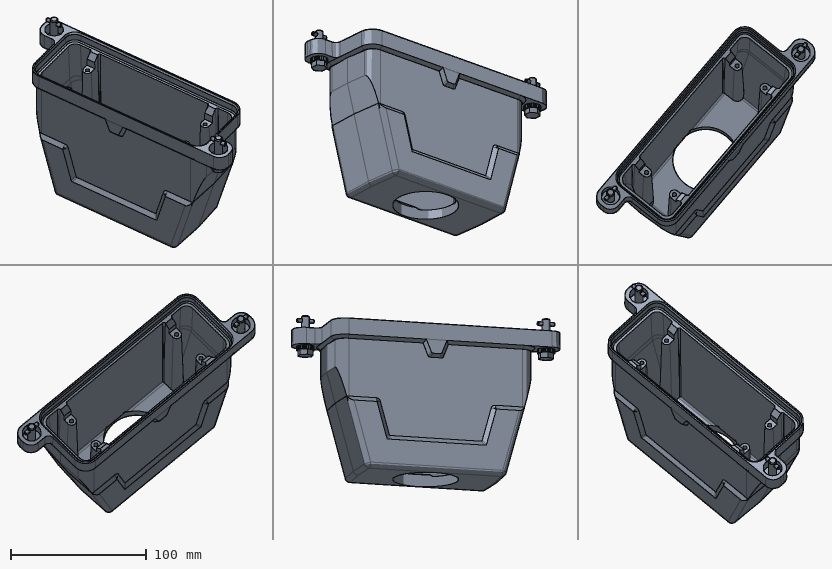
import cadquery as cq
import math

OVERALL_LENGTH = 193.0
OVERALL_WIDTH = 58.0
PIN_TOP = 10.5
HOOD_BOTTOM = PIN_TOP - 121.95

FLANGE_LENGTH = 155.8
FLANGE_THICKNESS = 12.3
FLANGE_CORNER_RADIUS = 10.8
FLANGE_DRAFT = 1.0
UNDERCUT_HEIGHT = 2.5

BODY_LENGTH = 151.6
BODY_WIDTH = OVERALL_WIDTH - 2 * (UNDERCUT_HEIGHT + 0.1)
BODY_CORNER_RADIUS = 8.5
END_PARTING_DRAFT = 2.8
KNEE_Z = -35.3
BOTTOM_HALF_LENGTH = 54.7
END_SLOPE = (BODY_LENGTH / 2 - BOTTOM_HALF_LENGTH) / (KNEE_Z - HOOD_BOTTOM)

BAND_TOP = -58.3
BAND_EDGE_RADIUS = 3.8
BAND_STEP = (OVERALL_WIDTH - BODY_WIDTH) / 2
BEVEL_RUN = 3.4
STEP_FLOOR_Z = -89.5
STEP_FLOOR_HALF = 38.0
STEP_CORNER_RADIUS = 1.5

LEDGE_Z = -7.5
CAVITY_LENGTH = 144.0
CAVITY_WIDTH = 46.6
CAVITY_CORNER_RADIUS = 6.3
CAVITY_KNEE_RADIUS = 20.0
CAVITY_DRAFT = 0.75
CAVITY_FLOOR_Z = -104.0
CAVITY_KNEE_Z = -40.5
CAVITY_KNEE_HALF = 70.4
CAVITY_FLOOR_HALF = 53.0
CAVITY_FLOOR_RADIUS = 1.5
CABLE_HOLE_DIAMETER = 48.5

RECESS_STEPS = [(1.4, 0.0), (2.4, -1.5), (2.8, -6.5), (3.9, LEDGE_Z)]

POST_X = 52.4
POST_Y = 13.2
POST_RADIUS = 3.3
POST_FLARE = 1.4
POST_TOP = -18.2
POST_DRAFT = 1.1
POST_HOLE_DIAMETER = 3.0
POST_HOLE_DEPTH = 12.0
RIB_SLOPE_START_Y = 21.6
RIB_SLOPE_RUN = 4.0
RIB_SLOPE_DROP = 4.6

EAR_WIDTH = 19.0
EAR_CORNER_RADIUS = 8.0
EAR_INNER_RADIUS = 4.0
SCREW_X = 86.5
SCREW_Y = 19.5
EAR_POCKET_DIAMETER = 13.6
EAR_POCKET_DEPTH = 9.0
PIN_DIAMETER = 6.0
PIN_CHAMFER = 0.8
CROSS_PIN_DIAMETER = 3.0
CROSS_PIN_LENGTH = 13.0
CROSS_PIN_CHAMFER = 0.5
CROSS_PIN_Z = 6.9
WASHER_DIAMETER = 12.8
WASHER_THICKNESS = 3.0
WASHER_TEETH = 24
WASHER_TOOTH_DEPTH = 0.5
HEX_ACROSS_CORNERS = 11.6
HEX_BOTTOM = -19.4

TAB_HALF_TOP = 10.7
TAB_HALF_BOTTOM = 5.5
TAB_BOTTOM = -25.2
TAB_SIDE_SLOPE = (TAB_HALF_TOP - TAB_HALF_BOTTOM) / (-FLANGE_THICKNESS - TAB_BOTTOM)
TAB_BEVEL = 2.6
TAB_CORNER_RADIUS = 2.5


def rounded_block(length, width, radius, top, height, draft=0.0):
    """Rounded rectangle at level top, extruded downward and narrowing by draft."""
    return (
        cq.Workplane("XY")
        .workplane(offset=top)
        .sketch()
        .rect(length, width)
        .vertices()
        .fillet(radius)
        .finalize()
        .extrude(-height, taper=draft)
    )


def peaked_hull(half_length, width, top, bottom, slope=0.0):
    """Prism between two levels whose ends peak at the mid plane and slope inward going down."""
    height = top - bottom
    spare_width = width + 2 * height * slope
    half_width = spare_width / 2
    corner = half_length - half_width * math.tan(math.radians(END_PARTING_DRAFT))
    hull = (
        cq.Workplane("XY")
        .workplane(offset=top)
        .polyline([
            (-half_length, 0),
            (-corner, half_width),
            (corner, half_width),
            (half_length, 0),
            (corner, -half_width),
            (-corner, -half_width),
        ])
        .close()
        .extrude(-height, taper=math.degrees(math.atan(slope)))
    )
    slab = cq.Workplane("XY", origin=(0, 0, bottom)).box(
        2 * half_length, width, height, centered=(True, True, False)
    )
    return hull.intersect(slab)


def opposite(solid):
    """Copy turned half a revolution about Z."""
    return solid.rotate((0, 0, 0), (0, 0, 1), 180)


def make_flange():
    """Rim plate with an ear on two opposite corners, drafted upward."""
    ear_end = OVERALL_LENGTH / 2
    side = OVERALL_WIDTH / 2
    ear_inner = side - EAR_WIDTH
    rim_end = FLANGE_LENGTH / 2
    r_ear = EAR_CORNER_RADIUS
    r_in = EAR_INNER_RADIUS
    r_rim = FLANGE_CORNER_RADIUS
    return (
        cq.Workplane("XY")
        .workplane(offset=-FLANGE_THICKNESS)
        .moveTo(-ear_end + r_ear, side)
        .lineTo(rim_end - r_rim, side)
        .tangentArcPoint((rim_end, side - r_rim), relative=False)
        .lineTo(rim_end, -ear_inner + r_in)
        .tangentArcPoint((rim_end + r_in, -ear_inner), relative=False)
        .lineTo(ear_end - r_ear, -ear_inner)
        .tangentArcPoint((ear_end, -ear_inner - r_ear), relative=False)
        .lineTo(ear_end, -side + r_ear)
        .tangentArcPoint((ear_end - r_ear, -side), relative=False)
        .lineTo(-rim_end + r_rim, -side)
        .tangentArcPoint((-rim_end, -side + r_rim), relative=False)
        .lineTo(-rim_end, ear_inner - r_in)
        .tangentArcPoint((-rim_end - r_in, ear_inner), relative=False)
        .lineTo(-ear_end + r_ear, ear_inner)
        .tangentArcPoint((-ear_end, ear_inner + r_ear), relative=False)
        .lineTo(-ear_end, side - r_ear)
        .tangentArcPoint((-ear_end + r_ear, side), relative=False)
        .close()
        .extrude(FLANGE_THICKNESS, taper=FLANGE_DRAFT)
    )


def make_undercut():
    """Sloped transition between the flange and the hood walls."""
    return rounded_block(
        FLANGE_LENGTH, OVERALL_WIDTH, FLANGE_CORNER_RADIUS, -FLANGE_THICKNESS, UNDERCUT_HEIGHT, 45
    )


def make_walls():
    """Round-cornered upper hood, its ends sloping inward below the knee."""
    bottom = BAND_TOP - BEVEL_RUN
    half_length = BODY_LENGTH / 2
    sloped_half_top = half_length + END_SLOPE * (LEDGE_Z - KNEE_Z)
    box = peaked_hull(half_length, BODY_WIDTH, LEDGE_Z, bottom)
    box = box.edges("|Z").edges("<Y or >Y").fillet(BODY_CORNER_RADIUS)
    return box.intersect(peaked_hull(sloped_half_top, BODY_WIDTH, LEDGE_Z, bottom, END_SLOPE))


def make_step_cutter():
    """Bevelled slab that removes the band thickness above the U-shaped step (-Y side)."""
    shelf_z = BAND_TOP - BEVEL_RUN
    shelf_half = STEP_FLOOR_HALF + END_SLOPE * (shelf_z - STEP_FLOOR_Z)
    margin = 2 * BEVEL_RUN
    far = BODY_LENGTH / 2 + margin
    bevel_angle = math.degrees(math.atan(BEVEL_RUN / BAND_STEP))
    slab = (
        cq.Workplane("XZ", origin=(0, -OVERALL_WIDTH / 2, 0))
        .polyline([
            (-far, margin),
            (-far, shelf_z),
            (-shelf_half, shelf_z),
            (-STEP_FLOOR_HALF, STEP_FLOOR_Z),
            (STEP_FLOOR_HALF, STEP_FLOOR_Z),
            (shelf_half, shelf_z),
            (far, shelf_z),
            (far, margin),
        ])
        .close()
        .extrude(-BAND_STEP, taper=bevel_angle)
    )
    return slab.edges("not (<Y or >Y)").fillet(STEP_CORNER_RADIUS)


def make_band():
    """Thicker lower part of the hood."""
    half_top = BOTTOM_HALF_LENGTH + END_SLOPE * (BAND_TOP - HOOD_BOTTOM)
    block = peaked_hull(half_top, OVERALL_WIDTH, BAND_TOP, HOOD_BOTTOM, END_SLOPE)
    block = block.faces("<Y or >Y or <Z").edges("not >Z").fillet(BAND_EDGE_RADIUS)
    cutter = make_step_cutter()
    return block.cut(cutter).cut(opposite(cutter))


def make_tab():
    """Bevelled grip tab on the -Y side, hanging from the flange."""
    root_half = TAB_HALF_TOP + FLANGE_THICKNESS * TAB_SIDE_SLOPE
    tab = (
        cq.Workplane("XZ", origin=(0, -OVERALL_WIDTH / 2 + TAB_BEVEL, 0))
        .polyline([
            (-root_half, 0),
            (-TAB_HALF_BOTTOM, TAB_BOTTOM),
            (TAB_HALF_BOTTOM, TAB_BOTTOM),
            (root_half, 0),
        ])
        .close()
        .extrude(TAB_BEVEL, taper=45)
        .edges("not (<Y or >Y)")
        .fillet(TAB_CORNER_RADIUS)
    )
    flange_space = cq.Workplane("XY", origin=(0, 0, -FLANGE_THICKNESS)).box(
        FLANGE_LENGTH, OVERALL_WIDTH, -TAB_BOTTOM, centered=(True, True, False)
    )
    return tab.cut(flange_space)


def make_rim_recess():
    """Recess in the rim, stepping inward in steep bands down to the ledge."""
    recess = None
    for (inset, top), (next_inset, bottom) in zip(RECESS_STEPS, RECESS_STEPS[1:]):
        band = rounded_block(
            FLANGE_LENGTH - 2 * inset,
            OVERALL_WIDTH - 2 * inset,
            FLANGE_CORNER_RADIUS - inset,
            top,
            top - bottom,
            math.degrees(math.atan((next_inset - inset) / (top - bottom))),
        )
        recess = band if recess is None else recess.union(band)
    return recess


def make_post(x_sign, y_sign):
    """Round-nosed post against a long wall, with a sloped rib above it."""
    wall_y = CAVITY_WIDTH / 2
    side_y = wall_y - POST_FLARE
    foot = POST_RADIUS + POST_FLARE
    column = (
        cq.Workplane("XY")
        .workplane(offset=LEDGE_Z)
        .moveTo(-foot, wall_y)
        .radiusArc((-POST_RADIUS, side_y), POST_FLARE)
        .lineTo(-POST_RADIUS, POST_Y)
        .threePointArc((0, POST_Y - POST_RADIUS), (POST_RADIUS, POST_Y))
        .lineTo(POST_RADIUS, side_y)
        .radiusArc((foot, wall_y), POST_FLARE)
        .lineTo(foot, BODY_WIDTH / 2)
        .lineTo(-foot, BODY_WIDTH / 2)
        .close()
        .extrude(CAVITY_FLOOR_Z - LEDGE_Z, taper=-POST_DRAFT)
    )
    rib_face_y = RIB_SLOPE_START_Y - RIB_SLOPE_RUN
    notch = (
        cq.Workplane("YZ")
        .polyline([
            (0, LEDGE_Z),
            (RIB_SLOPE_START_Y, LEDGE_Z),
            (rib_face_y, LEDGE_Z - RIB_SLOPE_DROP),
            (rib_face_y, POST_TOP),
            (0, POST_TOP),
        ])
        .close()
        .extrude(2 * foot, both=True)
    )
    hole = (
        cq.Workplane("XY", origin=(0, POST_Y, POST_TOP))
        .circle(POST_HOLE_DIAMETER / 2)
        .extrude(-POST_HOLE_DEPTH)
    )
    post = column.cut(notch).cut(hole)
    if y_sign < 0:
        post = opposite(post)
    return post.translate((x_sign * POST_X, 0, 0))


def make_cavity():
    """Hollow of the hood, narrowing to a flat floor, with the posts left standing."""
    depth = LEDGE_Z - CAVITY_FLOOR_Z
    box = (
        cq.Workplane("XY", origin=(0, 0, LEDGE_Z))
        .rect(2 * CAVITY_LENGTH, CAVITY_WIDTH)
        .extrude(-depth, taper=CAVITY_DRAFT)
    )
    top_half = CAVITY_LENGTH / 2
    profile = (
        cq.Workplane("XZ")
        .polyline([
            (-CAVITY_FLOOR_HALF, CAVITY_FLOOR_Z),
            (CAVITY_FLOOR_HALF, CAVITY_FLOOR_Z),
            (CAVITY_KNEE_HALF, CAVITY_KNEE_Z),
            (top_half, LEDGE_Z),
            (-top_half, LEDGE_Z),
            (-CAVITY_KNEE_HALF, CAVITY_KNEE_Z),
        ])
        .close()
        .extrude(CAVITY_WIDTH, both=True)
    )
    cavity = box.intersect(profile)
    cavity = cavity.edges("|Y").edges("not (<Z or >Z)").fillet(CAVITY_KNEE_RADIUS)
    cavity = cavity.edges("not (|X or |Y)").fillet(CAVITY_CORNER_RADIUS)
    cavity = cavity.faces("<Z").edges().fillet(CAVITY_FLOOR_RADIUS)
    for x_sign in (-1, 1):
        for y_sign in (-1, 1):
            cavity = cavity.cut(make_post(x_sign, y_sign))
    return cavity


def make_cable_hole():
    """Round cable entry through the hood floor."""
    return (
        cq.Workplane("XY", origin=(0, 0, HOOD_BOTTOM))
        .circle(CABLE_HOLE_DIAMETER / 2)
        .extrude(CAVITY_FLOOR_Z - HOOD_BOTTOM + CAVITY_FLOOR_RADIUS)
    )


def make_ear_pocket():
    """Round pocket in the -X ear."""
    return (
        cq.Workplane("XY", origin=(-SCREW_X, SCREW_Y, 0))
        .circle(EAR_POCKET_DIAMETER / 2)
        .extrude(-EAR_POCKET_DEPTH)
    )


def make_toothed_washer():
    """Washer under the ear with a ring of pointed teeth."""
    tip_radius = WASHER_DIAMETER / 2
    points = []
    for i in range(2 * WASHER_TEETH):
        radius = tip_radius - WASHER_TOOTH_DEPTH * (i % 2)
        angle = math.pi * i / WASHER_TEETH
        points.append((radius * math.cos(angle), radius * math.sin(angle)))
    washer = cq.Workplane("XY").polyline(points).close().extrude(-WASHER_THICKNESS)
    return washer.translate((0, 0, -FLANGE_THICKNESS))


def make_screw():
    """Locking screw of the -X ear: pin, cross pin, toothed washer and hex head."""
    pin = (
        cq.Workplane("XY", origin=(0, 0, HEX_BOTTOM))
        .circle(PIN_DIAMETER / 2)
        .extrude(PIN_TOP - HEX_BOTTOM)
        .faces(">Z")
        .chamfer(PIN_CHAMFER)
    )
    cross_pin = (
        cq.Workplane("YZ", origin=(0, 0, CROSS_PIN_Z))
        .circle(CROSS_PIN_DIAMETER / 2)
        .extrude(CROSS_PIN_LENGTH / 2, both=True)
        .faces("<X or >X")
        .chamfer(CROSS_PIN_CHAMFER)
    )
    head = (
        cq.Workplane("XY", origin=(0, 0, HEX_BOTTOM))
        .polygon(6, HEX_ACROSS_CORNERS)
        .extrude(-FLANGE_THICKNESS - HEX_BOTTOM)
        .rotate((0, 0, 0), (0, 0, 1), 90)
    )
    screw = pin.union(cross_pin).union(head).union(make_toothed_washer())
    return screw.translate((-SCREW_X, SCREW_Y, 0))


tab = make_tab()
hood = make_flange().union(make_undercut()).union(make_walls()).union(make_band())
hood = hood.union(tab).union(opposite(tab))
hood = hood.cut(make_rim_recess()).cut(make_cavity()).cut(make_cable_hole())

pocket = make_ear_pocket()
screw = make_screw()
hood = hood.cut(pocket).cut(opposite(pocket))
result = hood.union(screw).union(opposite(screw))